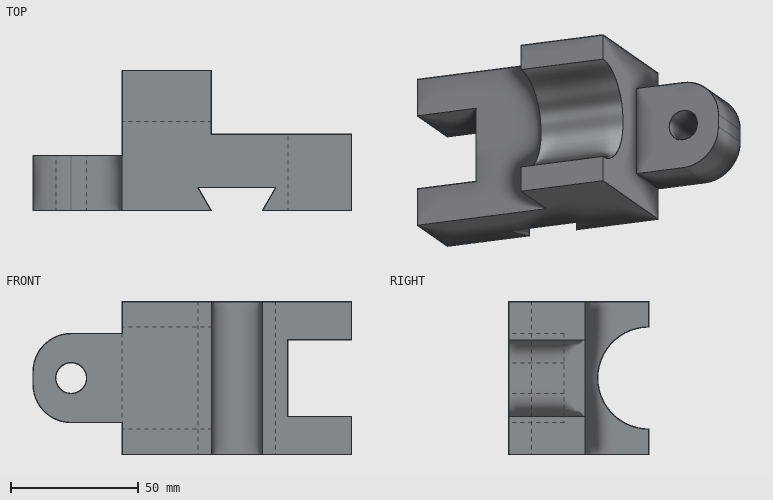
import cadquery as cq
import math

total_length = 125.0
height = 60.0
block_depth = 55.0
arm_depth = 30.0

lug_length = 35.0
lug_width = 35.0
lug_depth = 21.7
lug_corner_radius = 15.0
lug_hole_diameter = 12.0

block_length = 35.0
block_start = lug_length
block_end = block_start + block_length

saddle_radius = 20.0

dovetail_mouth = 20.0
dovetail_depth = 9.0
dovetail_angle = 60.0
dovetail_undercut = dovetail_depth / math.tan(math.radians(dovetail_angle))

slot_length = 25.0
slot_width = 30.0


def make_body():
    """L-shaped body, extruded upward and centred on Z = 0."""
    return (
        cq.Workplane("XY")
        .workplane(offset=-height / 2)
        .moveTo(block_start, 0)
        .lineTo(total_length, 0)
        .lineTo(total_length, arm_depth)
        .lineTo(block_end, arm_depth)
        .lineTo(block_end, block_depth)
        .lineTo(block_start, block_depth)
        .close()
        .extrude(height)
    )


def make_lug():
    """Lug with two rounded outer corners and a through hole, flush with the -Y face."""
    lug = (
        cq.Workplane("XY")
        .box(lug_length, lug_depth, lug_width, centered=(False, False, True))
        .edges("<X and |Y")
        .fillet(lug_corner_radius)
    )
    hole = (
        cq.Workplane("XZ")
        .center(lug_corner_radius, 0)
        .circle(lug_hole_diameter / 2)
        .extrude(-lug_depth)
    )
    return lug.cut(hole)


def make_saddle():
    """Cylinder along X, centred on the +Y face of the block."""
    return (
        cq.Workplane("YZ")
        .workplane(offset=block_start)
        .center(block_depth, 0)
        .circle(saddle_radius)
        .extrude(block_length)
    )


def make_dovetail():
    """Dovetail prism along the full height, widening inward from the -Y face."""
    mouth_start = block_end
    mouth_end = mouth_start + dovetail_mouth
    return (
        cq.Workplane("XY")
        .workplane(offset=-height / 2)
        .moveTo(mouth_start, 0)
        .lineTo(mouth_end, 0)
        .lineTo(mouth_end + dovetail_undercut, dovetail_depth)
        .lineTo(mouth_start - dovetail_undercut, dovetail_depth)
        .close()
        .extrude(height)
    )


def make_slot():
    """Rectangular slot through the arm in Y, open at the +X end."""
    return (
        cq.Workplane("XY")
        .box(slot_length, arm_depth, slot_width, centered=(False, False, True))
        .translate((total_length - slot_length, 0, 0))
    )


result = (
    make_body()
    .union(make_lug())
    .cut(make_saddle())
    .cut(make_dovetail())
    .cut(make_slot())
)